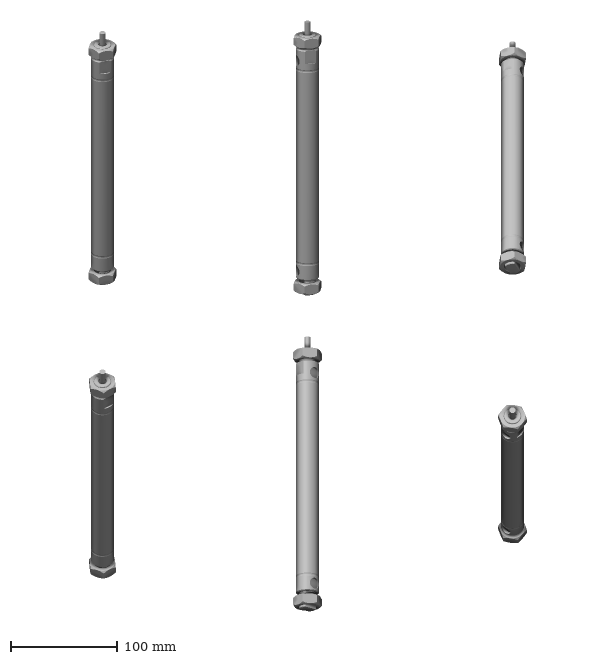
import cadquery as cq
import math

OVERALL_LENGTH = 267.5

BARREL_RADIUS = 11.0
BARREL_BOTTOM = 15.5
BARREL_TOP = 241.8
BARREL_CHAMFER = 0.8

GROOVE_WIDTH = 2.7
GROOVE_DEPTH = 0.3
GROOVE_FLANK = 0.8
GROOVE_CENTERS = (31.3, 221.5)

FLATS_WIDTH = 19.0
FLATS_BOTTOM = 229.0

PORT_RADIUS = 5.3
PORT_DEPTH = 2.7
PORT_CENTERS = (23.0, 230.3)

THREAD_RADIUS = 8.0
THREAD_CHAMFER = 0.5
FRONT_THREAD_END = 255.0
TONGUE_THICKNESS = 9.5
TONGUE_TOP = 15.0
COLLAR_BOTTOM = 13.5
COLLAR_STEP = 0.8

ROD_RADIUS = 3.0
ROD_BOTTOM = BARREL_TOP
ROD_RECESS_RADIUS = 4.0
ROD_RECESS_DEPTH = 1.5

NUT_ACROSS_FLATS = 23.8
NUT_THICKNESS = 10.0
NUT_FACE_RADIUS = 11.8
NUT_CHAMFER_ANGLE = 40.0
NUT_BORE_CHAMFER = 0.3
NUT_BOTTOMS = (2.1, 244.2)


def cylinder(radius, bottom, top):
    """Upright cylinder on the Z axis."""
    return cq.Workplane("XY").workplane(offset=bottom).circle(radius).extrude(top - bottom)


def groove_ring(center):
    """Ring of trapezoidal section that cuts one crimped groove."""
    half = GROOVE_WIDTH / 2
    floor_half = half - GROOVE_FLANK
    floor_radius = BARREL_RADIUS - GROOVE_DEPTH
    section = [
        (BARREL_RADIUS, center - half),
        (floor_radius, center - floor_half),
        (floor_radius, center + floor_half),
        (BARREL_RADIUS, center + half),
    ]
    return cq.Workplane("XZ").polyline(section).close().revolve(360, (0, 0, 0), (0, 1, 0))


def port(center):
    """Round blind port that enters the barrel from the +Y side."""
    return (
        cq.Workplane("XZ", origin=(0, BARREL_RADIUS, center))
        .circle(PORT_RADIUS)
        .extrude(PORT_DEPTH)
    )


def flats_waste():
    """Two segments of the front end that lie outside the wrench flats."""
    kept_slab = (
        cq.Workplane("XY")
        .workplane(offset=FLATS_BOTTOM)
        .rect(FLATS_WIDTH, 2 * BARREL_RADIUS)
        .extrude(BARREL_TOP - FLATS_BOTTOM)
    )
    return cylinder(BARREL_RADIUS, FLATS_BOTTOM, BARREL_TOP).cut(kept_slab)


def make_barrel():
    barrel = cylinder(BARREL_RADIUS, BARREL_BOTTOM, BARREL_TOP)
    barrel = barrel.faces("<Z or >Z").chamfer(BARREL_CHAMFER)
    barrel = barrel.cut(flats_waste())
    for center in GROOVE_CENTERS:
        barrel = barrel.cut(groove_ring(center))
    for center in PORT_CENTERS:
        barrel = barrel.cut(port(center))
    return barrel


def make_front_thread():
    thread = cylinder(THREAD_RADIUS, BARREL_TOP, FRONT_THREAD_END)
    return thread.faces(">Z").chamfer(THREAD_CHAMFER)


def make_rear_tongue():
    """Rear thread and the collar above it, milled to a flat tongue below a round root."""
    thread = cylinder(THREAD_RADIUS, 0, COLLAR_BOTTOM)
    thread = thread.faces("<Z").chamfer(THREAD_CHAMFER)
    thread = thread.faces(">Z").chamfer(COLLAR_STEP)
    collar = cylinder(THREAD_RADIUS, COLLAR_BOTTOM, TONGUE_TOP)
    slab = cq.Workplane("XY").rect(2 * THREAD_RADIUS, TONGUE_THICKNESS).extrude(TONGUE_TOP)
    tongue = thread.union(collar).intersect(slab)
    root = cylinder(THREAD_RADIUS, TONGUE_TOP, BARREL_BOTTOM)
    return tongue.union(root)


def make_housing():
    housing = make_barrel().union(make_front_thread()).union(make_rear_tongue())
    housing = housing.cut(cylinder(ROD_RADIUS, ROD_BOTTOM, FRONT_THREAD_END))
    recess_floor = FRONT_THREAD_END - ROD_RECESS_DEPTH
    return housing.cut(cylinder(ROD_RECESS_RADIUS, recess_floor, FRONT_THREAD_END))


def make_rod():
    return cylinder(ROD_RADIUS, ROD_BOTTOM, OVERALL_LENGTH)


def make_nut(bottom):
    corner_radius = NUT_ACROSS_FLATS / 2 / math.cos(math.pi / 6)
    chamfer_height = (corner_radius - NUT_FACE_RADIUS) * math.tan(math.radians(NUT_CHAMFER_ANGLE))
    top = bottom + NUT_THICKNESS
    hexagon = (
        cq.Workplane("XY")
        .workplane(offset=bottom)
        .transformed(rotate=(0, 0, 90))
        .polygon(6, 2 * corner_radius)
        .extrude(NUT_THICKNESS)
    )
    envelope_section = [
        (0, bottom),
        (NUT_FACE_RADIUS, bottom),
        (corner_radius, bottom + chamfer_height),
        (corner_radius, top - chamfer_height),
        (NUT_FACE_RADIUS, top),
        (0, top),
    ]
    envelope = cq.Workplane("XZ").polyline(envelope_section).close().revolve(360, (0, 0, 0), (0, 1, 0))
    nut = hexagon.intersect(envelope).cut(cylinder(THREAD_RADIUS, bottom, top))
    bore_edges = cq.selectors.RadiusNthSelector(0)
    return nut.edges("%CIRCLE").edges(bore_edges).chamfer(NUT_BORE_CHAMFER)


housing = make_housing()
rod = make_rod()
nuts = [make_nut(bottom) for bottom in NUT_BOTTOMS]

result = cq.Compound.makeCompound([housing.val(), rod.val(), *[nut.val() for nut in nuts]])